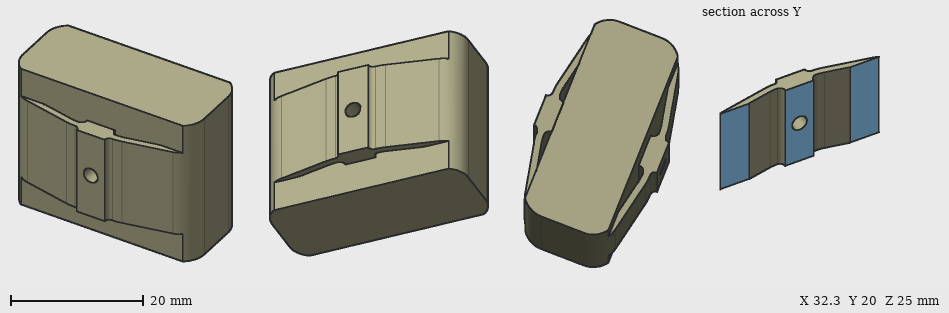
import cadquery as cq
import math

length = 32.3
width = 20.0
height = 25.0

body_width = 13.53
corner_radius = 4.0
side_flat = 6.88

band_height = 14.98
arm_thickness = 1.13
crown_radius = 8.0
pad_length = 4.97
pad_thickness = 2.97
outer_fillet = 0.8
inner_fillet = 0.87
pad_hole_diameter = 2.5

half_length = length / 2
pad_half = pad_length / 2
pad_top = width / 2
pad_bottom = pad_top - pad_thickness
face_y = body_width / 2
crown_y = pad_top - outer_fillet
crown_x = pad_half + outer_fillet

corner_center = (half_length - corner_radius, side_flat / 2)
crown_center = (crown_x, crown_y - crown_radius)

center_dx = corner_center[0] - crown_center[0]
center_dy = corner_center[1] - crown_center[1]
center_distance = math.hypot(center_dx, center_dy)
arm_angle = math.atan2(center_dx, center_dy) - math.acos((crown_radius - corner_radius) / center_distance)


def arc_point(center, radius, angle):
    """Point on a circle at an angle measured from +Y toward +X."""
    return (center[0] + radius * math.sin(angle), center[1] + radius * math.cos(angle))


def make_band_quadrant():
    """Quadrant (+X, +Y) of the banded middle, with the arm clear of the body."""
    crown_end = arc_point(crown_center, crown_radius, arm_angle)
    corner_end = arc_point(corner_center, corner_radius, arm_angle)
    corner_middle = arc_point(corner_center, corner_radius, (arm_angle + math.pi / 2) / 2)
    solid = (
        cq.Workplane("XY")
        .moveTo(0, 0)
        .lineTo(half_length, 0)
        .lineTo(half_length, corner_center[1])
        .threePointArc(corner_middle, corner_end)
        .lineTo(*crown_end)
        .threePointArc(arc_point(crown_center, crown_radius, arm_angle / 2), (crown_x, crown_y))
        .threePointArc(
            arc_point((crown_x, pad_top), outer_fillet, -3 * math.pi / 4),
            (pad_half, pad_top),
        )
        .lineTo(0, pad_top)
        .close()
        .extrude(band_height / 2, both=True)
    )
    return solid.cut(make_arm_gap())


def make_arm_gap():
    """Clearance between the flat body face and the underside of the arm and pad."""
    under_y = crown_y - arm_thickness
    under_x = pad_half + inner_fillet
    under_radius = crown_radius - arm_thickness
    under_center = (under_x, under_y - under_radius)
    under_end = arc_point(under_center, under_radius, arm_angle)
    tip_x = under_end[0] + (under_end[1] - face_y) / math.tan(arm_angle)
    fillet_center = (under_x, under_y - inner_fillet)
    return (
        cq.Workplane("XY")
        .moveTo(0, face_y)
        .lineTo(tip_x, face_y)
        .lineTo(*under_end)
        .threePointArc(arc_point(under_center, under_radius, arm_angle / 2), (under_x, under_y))
        .threePointArc(
            arc_point(fillet_center, inner_fillet, -math.pi / 4),
            (pad_half, fillet_center[1]),
        )
        .lineTo(pad_half, pad_bottom)
        .lineTo(0, pad_bottom)
        .close()
        .extrude(band_height / 2, both=True)
    )


def make_body():
    """Full-height block: rounded ends trimmed by the two flat faces."""
    rounded = (
        cq.Workplane("XY")
        .rect(length, side_flat + 2 * corner_radius)
        .extrude(height / 2, both=True)
        .edges("|Z")
        .fillet(corner_radius)
    )
    return rounded.intersect(cq.Workplane("XY").box(length, body_width, height))


def make_pad_holes():
    """Holes through each pad, stopping at the body face."""
    hole_depth = pad_top - face_y
    hole = cq.Workplane("XZ", origin=(0, -face_y, 0)).circle(pad_hole_diameter / 2).extrude(hole_depth)
    return hole.union(hole.mirror("XZ"))


quadrant = make_band_quadrant()
half_band = quadrant.union(quadrant.mirror("YZ"))
band = half_band.union(half_band.mirror("XZ"))
result = make_body().union(band).cut(make_pad_holes())